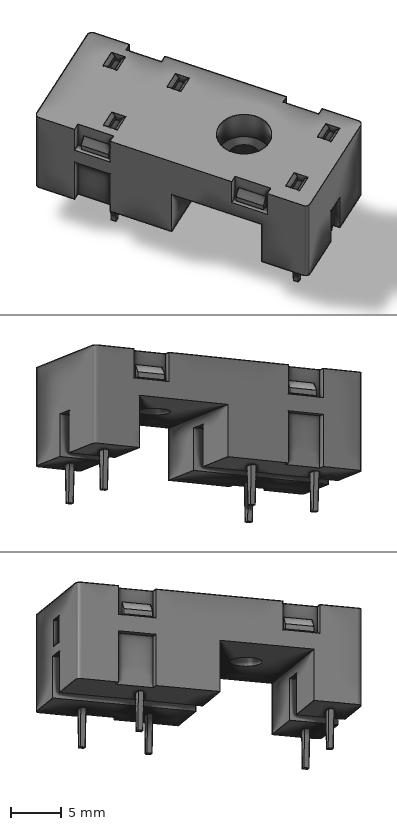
import cadquery as cq

length = 30.0
width = 13.0
total_height = 14.0
body_height = 10.0
pin_length = total_height - body_height
corner_radius = 0.5

bay_depth = 0.8
bay_width = 3.9
left_bay_x = -8.67
right_bay_x = 8.58
latch_bay_height = 2.97

latch_width = 3.0
latch_reach = 0.57
latch_top_drop = 1.4
latch_edge_drop = 2.25
latch_bottom_drop = 2.8
latch_x = 8.5

arch_height = 5.3
arch_width = 9.87
arch_x = 4.98
channel_width = 2.07
channel_height = 4.32

hole_diameter = 3.2
counterbore_diameter = 5.5
counterbore_depth = 3.15

window_width = 1.7
window_top_drop = 1.98
window_height = 2.73
window_depth = 0.5

contact_pitch = 3.5
first_contact_x = -11.0
last_contact_x = 12.5
contact_y = 3.75
contact_places = [
    (first_contact_x, contact_y),
    (first_contact_x + contact_pitch, -contact_y),
    (first_contact_x + 2 * contact_pitch, contact_y),
    (last_contact_x, contact_y),
    (last_contact_x, -contact_y),
]
socket_width = 2.0
socket_mouth = 1.53
socket_throat = 0.75
funnel_depth = 0.4
socket_depth = 0.9
pin_thickness = 0.55
pin_root_width = 0.93
pin_tip_width = 0.55


def block(size_x, size_y, size_z, x, y, bottom):
    """Box centred on x and y with its lower face at the given height."""
    box = cq.Workplane("XY").box(size_x, size_y, size_z, centered=(True, True, False))
    return box.translate((x, y, bottom))


def prism(plane, profile, thickness, x, y):
    """Closed profile thickened equally to both sides of its plane, then moved to x and y."""
    solid = cq.Workplane(plane).polyline(profile).close().extrude(thickness / 2, both=True)
    return solid.translate((x, y, 0))


def side_bay(x, side, height, bottom):
    """Cutter for a shallow bay in the long side facing side * Y."""
    y = side * (width - bay_depth) / 2
    return block(bay_width, bay_depth, height, x, y, bottom)


def latch(x, side):
    """Wedge standing out of a bay wall, sloped on top and flat below."""
    wall = side * (width / 2 - bay_depth)
    tip = wall + side * latch_reach
    profile = [
        (wall, body_height - latch_top_drop),
        (tip, body_height - latch_edge_drop),
        (tip, body_height - latch_bottom_drop),
        (wall, body_height - latch_bottom_drop),
    ]
    return prism("YZ", profile, latch_width, x, 0)


def socket(x, y):
    """Cutter for a blind socket whose two X walls flare out at the top."""
    throat_top = body_height - funnel_depth
    floor = body_height - socket_depth
    half_mouth = socket_mouth / 2
    half_throat = socket_throat / 2
    profile = [
        (-half_mouth, body_height),
        (half_mouth, body_height),
        (half_throat, throat_top),
        (half_throat, floor),
        (-half_throat, floor),
        (-half_throat, throat_top),
    ]
    return prism("XZ", profile, socket_width, x, y)


def pin(x, y):
    """Flat pin below the housing, tapering in Y towards its tip."""
    profile = [
        (-pin_root_width / 2, 0),
        (pin_root_width / 2, 0),
        (pin_tip_width / 2, -pin_length),
        (-pin_tip_width / 2, -pin_length),
    ]
    return prism("YZ", profile, pin_thickness, x, y)


result = block(length, width, body_height, 0, 0, 0).edges("|Z").fillet(corner_radius)

result = result.cut(block(arch_width, width, arch_height, arch_x, 0, 0))
result = result.cut(block(length, channel_width, channel_height, 0, 0, 0))

for side in (-1, 1):
    result = result.cut(side_bay(left_bay_x, side, arch_height, 0))
    for bay_x, wedge_x in ((left_bay_x, -latch_x), (right_bay_x, latch_x)):
        result = result.cut(side_bay(bay_x, side, latch_bay_height, body_height - latch_bay_height))
        result = result.union(latch(wedge_x, side))

result = (
    result.faces(">Z").workplane(origin=(arch_x, 0, body_height))
    .cboreHole(hole_diameter, counterbore_diameter, counterbore_depth)
)

window_x = (window_depth - length) / 2
window_bottom = body_height - window_top_drop - window_height
result = result.cut(block(window_depth, window_width, window_height, window_x, 0, window_bottom))

for x, y in contact_places:
    result = result.cut(socket(x, y)).union(pin(x, y))